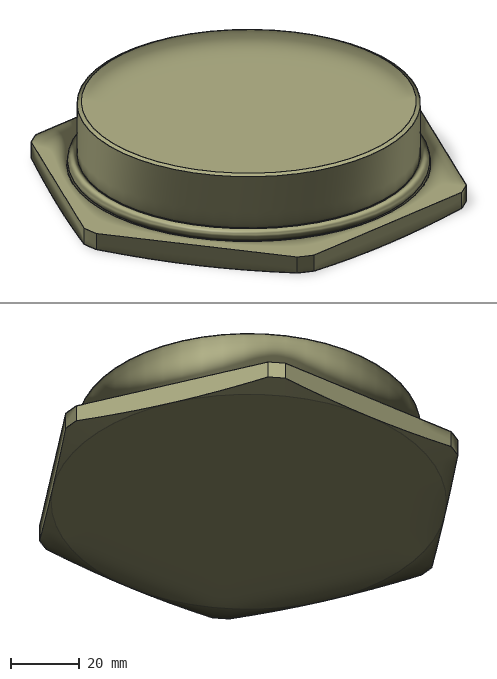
import cadquery as cq
import math

ACROSS_FLATS = 115.0
CORNER_DIAMETER = 130.0
HEAD_THICKNESS = 6.5
HEAD_CHAMFER_ANGLE = 10.0

TOTAL_HEIGHT = 26.5
PLUG_DIAMETER = 100.0
PLUG_TOP_DIAMETER = 97.5
PLUG_CHAMFER_HEIGHT = 0.56

GROOVE_INNER_DIAMETER = 98.0
GROOVE_OUTER_DIAMETER = 106.0
RING_SECTION = 3.5
RING_TOP = 9.5

RING_BOTTOM = RING_TOP - RING_SECTION


def make_plug():
    """Hexagonal head with rounded corners and a conical underside, carrying the plug."""
    plug_radius = PLUG_DIAMETER / 2
    corner_radius = CORNER_DIAMETER / 2
    flat_radius = ACROSS_FLATS / 2
    chamfer_height = (corner_radius - flat_radius) * math.tan(math.radians(HEAD_CHAMFER_ANGLE))

    hexagon = (
        cq.Workplane("XY")
        .polygon(6, ACROSS_FLATS, circumscribed=True)
        .extrude(HEAD_THICKNESS)
    )
    blank = (
        cq.Workplane("XZ")
        .moveTo(0, 0)
        .lineTo(flat_radius, 0)
        .lineTo(corner_radius, chamfer_height)
        .lineTo(corner_radius, HEAD_THICKNESS)
        .lineTo(0, HEAD_THICKNESS)
        .close()
        .revolve(360, (0, 0, 0), (0, 1, 0))
    )
    head = hexagon.intersect(blank)

    chamfer_width = (PLUG_DIAMETER - PLUG_TOP_DIAMETER) / 2
    boss = (
        cq.Workplane("XY")
        .workplane(offset=HEAD_THICKNESS)
        .circle(plug_radius)
        .extrude(TOTAL_HEIGHT - HEAD_THICKNESS)
        .faces(">Z")
        .edges()
        .chamfer(PLUG_CHAMFER_HEIGHT, chamfer_width)
    )
    groove = (
        cq.Workplane("XY")
        .workplane(offset=RING_BOTTOM)
        .circle(GROOVE_OUTER_DIAMETER / 2)
        .circle(GROOVE_INNER_DIAMETER / 2)
        .extrude(RING_SECTION)
    )
    return head.union(boss).cut(groove)


def make_sealing_ring():
    """Round-section ring resting on the groove floor, midway between the groove walls."""
    section_radius = RING_SECTION / 2
    centre_radius = (GROOVE_INNER_DIAMETER + GROOVE_OUTER_DIAMETER) / 4
    return (
        cq.Workplane("XZ")
        .center(centre_radius, RING_BOTTOM + section_radius)
        .circle(section_radius)
        .revolve(360, (-centre_radius, 0, 0), (-centre_radius, 1, 0))
    )


plug = make_plug()
sealing_ring = make_sealing_ring()

result = cq.Compound.makeCompound([plug.val(), sealing_ring.val()])